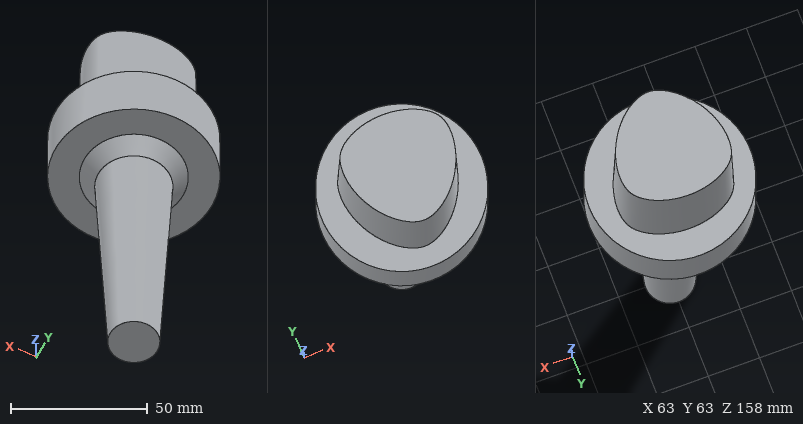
import cadquery as cq
import math

total_height = 158.0
collar_top = 120.4
collar_bottom = 98.0
neck_bottom = 92.3

collar_diameter = 63.0
neck_top_diameter = 39.8
shank_top_diameter = 28.6
shank_tip_diameter = 19.1

head_base_width = 44.1
head_top_width = 42.3
lobe_rise = 1.52
outline_points = 48


def lobed_point(width, angle):
    """Point of a constant-width, three-lobed outline; angle 0 is the lobe on -Y."""
    radius = width / 2
    along = radius * math.cos(angle) + lobe_rise * (2 * math.cos(2 * angle) - math.cos(4 * angle))
    across = radius * math.sin(angle) - lobe_rise * (2 * math.sin(2 * angle) + math.sin(4 * angle))
    return (across, -along)


def lobed_wire(width, height):
    """Closed smooth outline of the head at the given height."""
    step = 2 * math.pi / outline_points
    points = [lobed_point(width, i * step) for i in range(outline_points)]
    return cq.Workplane("XY", origin=(0, 0, height)).spline(points, periodic=True).wire().val()


def make_turned_body():
    """Tapered shank, conical neck and collar, revolved about Z."""
    return (
        cq.Workplane("XZ")
        .moveTo(0, 0)
        .lineTo(shank_tip_diameter / 2, 0)
        .lineTo(shank_top_diameter / 2, neck_bottom)
        .lineTo(neck_top_diameter / 2, collar_bottom)
        .lineTo(collar_diameter / 2, collar_bottom)
        .lineTo(collar_diameter / 2, collar_top)
        .lineTo(0, collar_top)
        .close()
        .revolve(360, (0, 0, 0), (0, 1, 0))
    )


def make_head():
    """Three-lobed head, narrowing from the collar to its flat top."""
    base = lobed_wire(head_base_width, collar_top)
    top = lobed_wire(head_top_width, total_height)
    return cq.Workplane(cq.Solid.makeLoft([base, top], True))


result = make_turned_body().union(make_head())